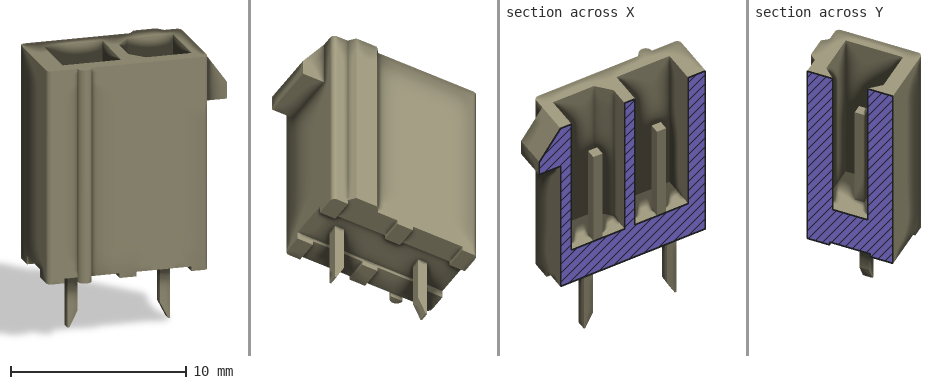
import cadquery as cq

body_width = 5.38
body_length = 9.6
body_height = 12.8
corner_radius = 0.28
half_width = body_width / 2
half_length = body_length / 2

pocket_width = 3.59
pocket_length = 3.5
pocket_pitch = 4.2
pocket_depth = 9.78
rear_wall = 0.73
key_chamfer_width = 0.86
key_chamfer_length = 0.8
rear_pocket_y = half_length - rear_wall - pocket_length / 2
front_pocket_y = rear_pocket_y - pocket_pitch
pocket_floor = body_height - pocket_depth

foot_length = 1.01
side_channel_depth = 0.28
end_channel_depth = 0.49
end_channel_width = 2.51

left_rib_height = 0.4
left_rib_base_rear = 1.0
left_rib_crest_rear = 1.32
left_rib_crest_front = 2.69
left_rib_base_front = 3.02
right_rib_y = half_length - 7.4
right_rib_radius = 0.4

latch_width = 3.47
latch_reach = 1.4
latch_ramp_height = 1.95
latch_height = 2.97

pin_size = 0.6
pin_height = 6.52
tail_drop = 16.3 - body_height
tail_pitch = 5.51
tail_mid_y = half_length - 4.61
tail_bevel_height = 1.0
tail_tip_width = 0.1


def block(width, length, height, y, z):
    """Box centred on X = 0 and on y, rising from z."""
    return cq.Workplane("XY").box(width, length, height, (True, True, False)).translate((0, y, z))


def make_body():
    body = block(body_width, body_length, body_height, 0, 0)
    return body.edges("|Z").fillet(corner_radius)


def make_left_rib():
    crest_x = -half_width - left_rib_height
    outline = [
        (-half_width, half_length - left_rib_base_rear),
        (crest_x, half_length - left_rib_crest_rear),
        (crest_x, half_length - left_rib_crest_front),
        (-half_width, half_length - left_rib_base_front),
    ]
    rib_length = body_height - side_channel_depth
    rib = cq.Workplane("XY", origin=(0, 0, side_channel_depth))
    return rib.polyline(outline).close().extrude(rib_length)


def make_right_rib():
    rib = cq.Workplane("XY").moveTo(half_width, right_rib_y - right_rib_radius)
    rib = rib.threePointArc(
        (half_width + right_rib_radius, right_rib_y),
        (half_width, right_rib_y + right_rib_radius),
    )
    return rib.close().extrude(body_height)


def make_latch():
    outer_y = half_length + latch_reach
    inner_y = half_length - rear_wall / 2
    outline = [
        (inner_y, body_height),
        (half_length, body_height),
        (outer_y, body_height - latch_ramp_height),
        (outer_y, body_height - latch_height),
        (inner_y, body_height - latch_height),
    ]
    return cq.Workplane("YZ").polyline(outline).close().extrude(latch_width / 2, both=True)


def make_pockets():
    square = block(pocket_width, pocket_length, pocket_depth, front_pocket_y, pocket_floor)
    half = pocket_width / 2
    rear_y = rear_pocket_y + pocket_length / 2
    front_y = rear_pocket_y - pocket_length / 2
    outline = [
        (-half, rear_y),
        (half, rear_y),
        (half, front_y + key_chamfer_length),
        (half - key_chamfer_width, front_y),
        (key_chamfer_width - half, front_y),
        (-half, front_y + key_chamfer_length),
    ]
    keyed = cq.Workplane("XY", origin=(0, 0, pocket_floor)).polyline(outline).close().extrude(pocket_depth)
    return square.union(keyed)


def cut_channels(body):
    side_channel_length = (body_length - 3 * foot_length) / 2
    side_channel_y = (side_channel_length + foot_length) / 2
    for y in (-side_channel_y, side_channel_y):
        body = body.cut(block(body_width, side_channel_length, side_channel_depth, y, 0))
    return body.cut(block(end_channel_width, body_length, end_channel_depth, 0, 0))


def make_tail(side):
    """Tail with a bevelled tip whose long edge faces outward (side = +1 rear, -1 front)."""
    center_y = tail_mid_y + side * tail_pitch / 2
    outer_y = center_y + side * pin_size / 2
    inner_y = center_y - side * pin_size / 2
    outline = [
        (outer_y, pocket_floor / 2),
        (outer_y, -tail_drop),
        (outer_y - side * tail_tip_width, -tail_drop),
        (inner_y, tail_bevel_height - tail_drop),
        (inner_y, pocket_floor / 2),
    ]
    return cq.Workplane("YZ").polyline(outline).close().extrude(pin_size / 2, both=True)


result = cut_channels(make_body())
result = result.union(make_left_rib()).union(make_right_rib()).union(make_latch())
result = result.cut(make_pockets())
for pin_y in (rear_pocket_y, front_pocket_y):
    result = result.union(block(pin_size, pin_size, pin_height, pin_y, pocket_floor))
for tail_side in (1, -1):
    result = result.union(make_tail(tail_side))